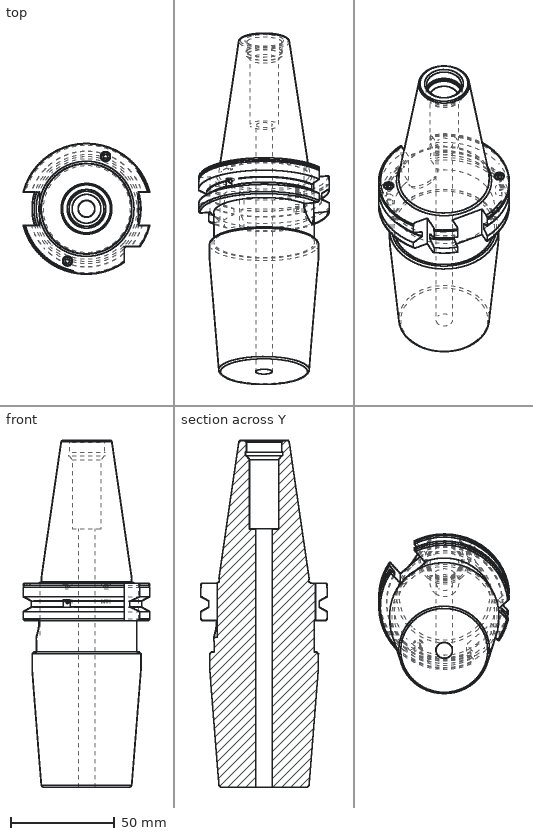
import cadquery as cq
import math

taper_top_z = 68.4
nose_z = -100.0

gauge_radius = 44.45 / 2
taper_slope = 7 / 48
taper_base_z = 1.4
taper_top_chamfer = 0.6

relief_radius = 21.9
relief_z = 0.4
flange_foot_radius = 23.1
flange_foot_chamfer = 0.6

flange_radius = 63.55 / 2
flange_top_z = -0.9
flange_bottom_z = -19.1
flange_top_fillet = 1.0
rim_line_top_z = -2.0
rim_line_bottom_z = -2.9
rim_line_depth = 0.2
flange_bottom_chamfer = 0.8
groove_center_z = -11.1
groove_floor_radius = 28.0
groove_floor_width = 2.9
groove_half_angle = 30.0
groove_floor_fillet = 0.3

collar_radius = 24.4
band_radius = 26.5
band_top_z = -34.3
band_bottom_z = -42.7
band_chamfer = 1.0
nose_radius = 22.0
nose_chamfer = 0.9

keyway_width = 16.1
keyway_end_center_z = flange_bottom_z
left_keyway_depth_x = 22.8
right_keyway_depth_x = 25.0
notch_corner = 18.4

socket_radius = 8.5
socket_mouth_chamfer = 0.9
socket_straight_depth = 5.8
socket_undercut_radius = 8.9
socket_undercut_end_depth = 7.4
thread_bore_radius = 7.0
thread_bore_start_depth = 9.4
thread_bore_floor_depth = 43.0
through_bore_radius = 4.0

coolant_hole_radius = 2.0
coolant_mouth_radius = 2.4
coolant_circle_radius = 27.0
coolant_first_angle = 70.0
coolant_hole_bottom_z = groove_center_z - groove_floor_width / 2
screw_top_z = flange_top_z - 0.8
screw_tip_z = groove_center_z + 0.2
screw_socket_width = 2.0
screw_socket_depth = 2.0


def taper_radius(z):
    return gauge_radius - taper_slope * z


def revolve_profile(points):
    return cq.Workplane("XZ").polyline(points).close().revolve(360, (0, 0, 0), (0, 1, 0))


def fillet_circles(body, radius, z, fillet_radius):
    """Round the circular edges of the given radius at height z."""
    edges = [
        edge for edge in body.edges("%CIRCLE").vals()
        if math.isclose(edge.radius(), radius) and math.isclose(edge.Center().z, z)
    ]
    return body.newObject(edges).fillet(fillet_radius)


def make_body():
    groove_half_floor = groove_floor_width / 2
    groove_flank_height = (flange_radius - groove_floor_radius) * math.tan(math.radians(groove_half_angle))
    groove_half_mouth = groove_half_floor + groove_flank_height
    chamfer_start_z = taper_top_z - taper_top_chamfer
    body = revolve_profile([
        (0, taper_top_z),
        (taper_radius(taper_top_z) - taper_top_chamfer, taper_top_z),
        (taper_radius(chamfer_start_z), chamfer_start_z),
        (taper_radius(taper_base_z), taper_base_z),
        (relief_radius, relief_z),
        (relief_radius, flange_top_z + flange_foot_chamfer),
        (flange_foot_radius, flange_top_z),
        (flange_radius, flange_top_z),
        (flange_radius, rim_line_top_z),
        (flange_radius - rim_line_depth, rim_line_top_z),
        (flange_radius - rim_line_depth, rim_line_bottom_z),
        (flange_radius, rim_line_bottom_z),
        (flange_radius, groove_center_z + groove_half_mouth),
        (groove_floor_radius, groove_center_z + groove_half_floor),
        (groove_floor_radius, groove_center_z - groove_half_floor),
        (flange_radius, groove_center_z - groove_half_mouth),
        (flange_radius, flange_bottom_z + flange_bottom_chamfer),
        (flange_radius - flange_bottom_chamfer, flange_bottom_z),
        (collar_radius, flange_bottom_z),
        (collar_radius, band_top_z),
        (band_radius - band_chamfer, band_top_z),
        (band_radius, band_top_z - band_chamfer),
        (band_radius, band_bottom_z),
        (nose_radius, nose_z + nose_chamfer),
        (nose_radius - nose_chamfer, nose_z),
        (0, nose_z),
    ])
    for floor_edge_z in (groove_center_z + groove_half_floor, groove_center_z - groove_half_floor):
        body = fillet_circles(body, groove_floor_radius, floor_edge_z, groove_floor_fillet)
    return fillet_circles(body, flange_radius, flange_top_z, flange_top_fillet)


def make_bore():
    return revolve_profile([
        (0, taper_top_z),
        (socket_radius + socket_mouth_chamfer, taper_top_z),
        (socket_radius, taper_top_z - socket_mouth_chamfer),
        (socket_radius, taper_top_z - socket_straight_depth),
        (socket_undercut_radius, taper_top_z - socket_straight_depth),
        (socket_undercut_radius, taper_top_z - socket_undercut_end_depth),
        (socket_radius, taper_top_z - socket_undercut_end_depth),
        (thread_bore_radius, taper_top_z - thread_bore_start_depth),
        (thread_bore_radius, taper_top_z - thread_bore_floor_depth),
        (through_bore_radius, taper_top_z - thread_bore_floor_depth),
        (through_bore_radius, nose_z),
        (0, nose_z),
    ])


def make_keyway(side, depth_x):
    """Round-ended slot outside |X| = depth_x; side is -1 for -X or +1 for +X."""
    half_width = keyway_width / 2
    return (
        cq.Workplane("YZ", origin=(side * depth_x, 0, 0))
        .moveTo(-half_width, flange_top_z)
        .lineTo(-half_width, keyway_end_center_z)
        .threePointArc((0, keyway_end_center_z - half_width), (half_width, keyway_end_center_z))
        .lineTo(half_width, flange_top_z)
        .close()
        .extrude(side * flange_radius)
    )


def make_notch():
    return cq.Workplane("XY").box(
        flange_radius, flange_radius, flange_top_z - flange_bottom_z, centered=False
    ).translate((notch_corner, -notch_corner - flange_radius, flange_bottom_z))


def make_coolant_hole():
    """Hole on the Z axis, minus the set screw that sits in it."""
    hole = revolve_profile([
        (0, flange_top_z),
        (coolant_mouth_radius, flange_top_z),
        (coolant_hole_radius, flange_top_z - (coolant_mouth_radius - coolant_hole_radius)),
        (coolant_hole_radius, coolant_hole_bottom_z),
        (0, coolant_hole_bottom_z),
    ])
    screw = revolve_profile([
        (0, screw_top_z),
        (coolant_hole_radius, screw_top_z),
        (coolant_hole_radius, screw_tip_z + coolant_hole_radius),
        (0, screw_tip_z),
    ])
    socket = (
        cq.Workplane("XY", origin=(0, 0, screw_top_z))
        .polygon(6, screw_socket_width, circumscribed=True)
        .extrude(-screw_socket_depth)
    )
    return hole.cut(screw).union(socket)


def cut_coolant_holes(body):
    for angle in (coolant_first_angle, coolant_first_angle + 180):
        hole = make_coolant_hole().translate((coolant_circle_radius, 0, 0))
        body = body.cut(hole.rotate((0, 0, 0), (0, 0, 1), angle))
    return body


body_with_cuts = (
    make_body()
    .cut(make_bore())
    .cut(make_keyway(-1, left_keyway_depth_x))
    .cut(make_keyway(1, right_keyway_depth_x))
    .cut(make_notch())
)
result = cut_coolant_holes(body_with_cuts)